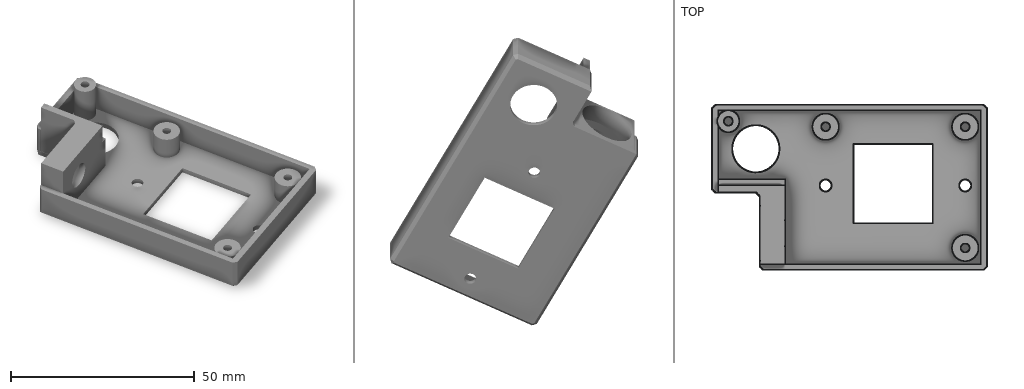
import cadquery as cq

LENGTH = 75.0
WIDTH = 45.0
WALL_HEIGHT = 9.5
FLOOR = 1.5
END_WALL = 1.75
SIDE_WALL = 1.5
BEVEL = 1.0

NOTCH_X = 13.0
NOTCH_Y = 21.0

BLOCK_TOP = 17.5
BLOCK_END_X = 20.0
BLOCK_BACK_Y = 23.0
BLOCK_SETBACK = 0.1
LEDGE_BACK_Y = 24.75
LEDGE_TOP = 11.5

BORE_Y = 10.0
BORE_Z = WALL_HEIGHT
BORE_DIAMETER = 7.2
COUNTERBORE_DIAMETER = 15.0
COUNTERBORE_DEPTH = 5.0

WINDOW_SIZE = 21.5
WINDOW_X = 49.4
WINDOW_Y = 23.5
ROUND_OPENING_DIAMETER = 12.8
ROUND_OPENING_CENTER = (12.0, 33.0)
BOLT_HOLE_DIAMETER = 3.2
BOLT_HOLE_Y = 23.0

POST_COLUMNS = (31.0, 69.0)
POST_BACK_Y = 39.0
POST_FRONT_Y = 6.0
POST_CENTERS = [(x, POST_BACK_Y) for x in POST_COLUMNS] + [(POST_COLUMNS[1], POST_FRONT_Y)]
POST_DIAMETER = 7.2
POST_TOP = 8.0
CORNER_POST_CENTER = (4.5, 40.5)
CORNER_POST_DIAMETER = 6.0
CORNER_POST_TOP = 12.0
PILOT_DIAMETER = 2.4


def box(x_range, y_range, z_range):
    """Box spanning the given (low, high) ranges."""
    size = [high - low for low, high in (x_range, y_range, z_range)]
    corner = (x_range[0], y_range[0], z_range[0])
    return cq.Workplane("XY").box(*size, centered=False).translate(corner)


def notch_cutter(setback, bottom, top):
    """Volume removed by the notch, grown by setback, with its inner corner cut at 45 degrees."""
    cutter = box((-LENGTH, NOTCH_X + setback), (-WIDTH, NOTCH_Y + setback), (bottom, top))
    return cutter.edges("|Z and >X and >Y").chamfer(BEVEL)


def corner_bevel(x, y):
    """Upright 45 degree prism that bevels the outer corner at (x, y), where the notch meets a side."""
    outline = [(x, y), (x + BEVEL, y), (x, y + BEVEL)]
    return cq.Workplane("XY").polyline(outline).close().extrude(WALL_HEIGHT)


def tray():
    """Open tray; its bottom bevel runs along the outer sides but not along the notch."""
    shell = box((0, LENGTH), (0, WIDTH), (0, WALL_HEIGHT))
    shell = shell.edges("|Z").chamfer(BEVEL)
    shell = shell.faces("<Z").edges().chamfer(BEVEL)
    cavity = box(
        (END_WALL, LENGTH - END_WALL),
        (SIDE_WALL, WIDTH - SIDE_WALL),
        (FLOOR, WALL_HEIGHT),
    )
    shell = shell.cut(cavity).cut(notch_cutter(0, 0, WALL_HEIGHT))
    return shell.cut(corner_bevel(NOTCH_X, 0)).cut(corner_bevel(0, NOTCH_Y))


def notch_block():
    """Raised L-shaped block behind the notch, with a low ledge at its back."""
    body = box((END_WALL, BLOCK_END_X), (SIDE_WALL, BLOCK_BACK_Y), (FLOOR, BLOCK_TOP))
    ledge = box((END_WALL, BLOCK_END_X), (BLOCK_BACK_Y, LEDGE_BACK_Y), (FLOOR, LEDGE_TOP))
    return body.union(ledge).cut(notch_cutter(BLOCK_SETBACK, FLOOR, BLOCK_TOP))


def stepped_bore():
    """Bore along X, widened on the notch side."""
    face_x = NOTCH_X + BLOCK_SETBACK
    plane = cq.Workplane("YZ", origin=(face_x, BORE_Y, BORE_Z))
    bore = plane.circle(BORE_DIAMETER / 2).extrude(BLOCK_END_X - face_x)
    counterbore = plane.circle(COUNTERBORE_DIAMETER / 2).extrude(COUNTERBORE_DEPTH)
    return bore.union(counterbore)


def post(center, diameter, top):
    """Screw post with a pilot hole that ends at the floor."""
    return (
        cq.Workplane("XY", origin=(*center, FLOOR))
        .circle(diameter / 2)
        .circle(PILOT_DIAMETER / 2)
        .extrude(top - FLOOR)
    )


def posts():
    """Three equal posts and the taller, slimmer one in the -X, +Y corner."""
    all_posts = post(CORNER_POST_CENTER, CORNER_POST_DIAMETER, CORNER_POST_TOP)
    for center in POST_CENTERS:
        all_posts = all_posts.union(post(center, POST_DIAMETER, POST_TOP))
    return all_posts


def floor_openings():
    """Square window, round opening and two bolt holes through the floor."""
    plane = cq.Workplane("XY")
    window = plane.center(WINDOW_X, WINDOW_Y).rect(WINDOW_SIZE, WINDOW_SIZE).extrude(FLOOR)
    opening = plane.center(*ROUND_OPENING_CENTER).circle(ROUND_OPENING_DIAMETER / 2).extrude(FLOOR)
    bolt_centers = [(x, BOLT_HOLE_Y) for x in POST_COLUMNS]
    bolts = plane.pushPoints(bolt_centers).circle(BOLT_HOLE_DIAMETER / 2).extrude(FLOOR)
    return window.union(opening).union(bolts)


result = tray().cut(floor_openings())
result = result.union(notch_block()).cut(stepped_bore())
result = result.union(posts())